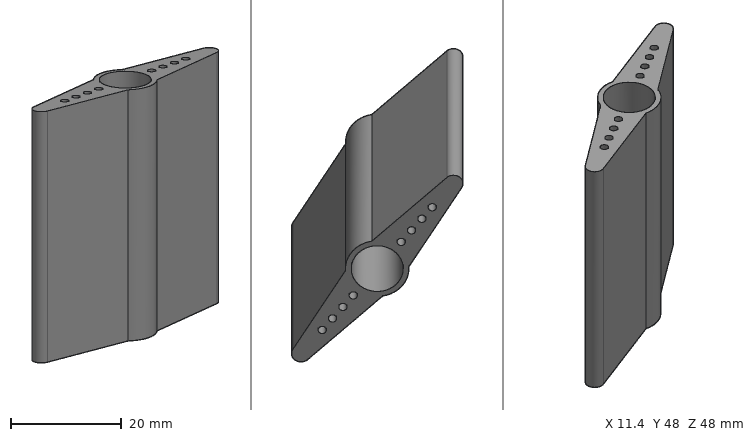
import cadquery as cq
import math

span = 48.0
height = 48.0
hub_diameter = 11.45
bore_diameter = 9.4
root_half_width = 4.25
tip_radius = 1.75
hole_diameter = 1.5
holes_per_arm = 4
first_hole_y = 7.0
hole_pitch = 3.0

hub_radius = hub_diameter / 2
root_y = math.sqrt(hub_radius**2 - root_half_width**2)
tip_centre_y = span / 2 - tip_radius
rise = tip_centre_y - root_y
centre_angle = math.atan2(root_half_width, rise)
tangent_angle = math.asin(tip_radius / math.hypot(root_half_width, rise))
flank_angle = centre_angle - tangent_angle
tangent_x = tip_radius * math.cos(flank_angle)
tangent_y = tip_centre_y + tip_radius * math.sin(flank_angle)


def make_arm(side):
    """Tapered arm with a round tip; side is +1 or -1 along Y."""
    return (
        cq.Workplane("XY")
        .moveTo(-root_half_width, 0)
        .lineTo(-root_half_width, side * root_y)
        .lineTo(-tangent_x, side * tangent_y)
        .threePointArc((0, side * span / 2), (tangent_x, side * tangent_y))
        .lineTo(root_half_width, side * root_y)
        .lineTo(root_half_width, 0)
        .close()
        .extrude(height)
    )


hub = cq.Workplane("XY").circle(hub_radius).extrude(height)
body = hub.union(make_arm(1)).union(make_arm(-1))

bore = cq.Workplane("XY").circle(bore_diameter / 2).extrude(height)
hole_points = [
    (0, side * (first_hole_y + index * hole_pitch))
    for side in (1, -1)
    for index in range(holes_per_arm)
]
holes = cq.Workplane("XY").pushPoints(hole_points).circle(hole_diameter / 2).extrude(height)

result = body.cut(bore).cut(holes)